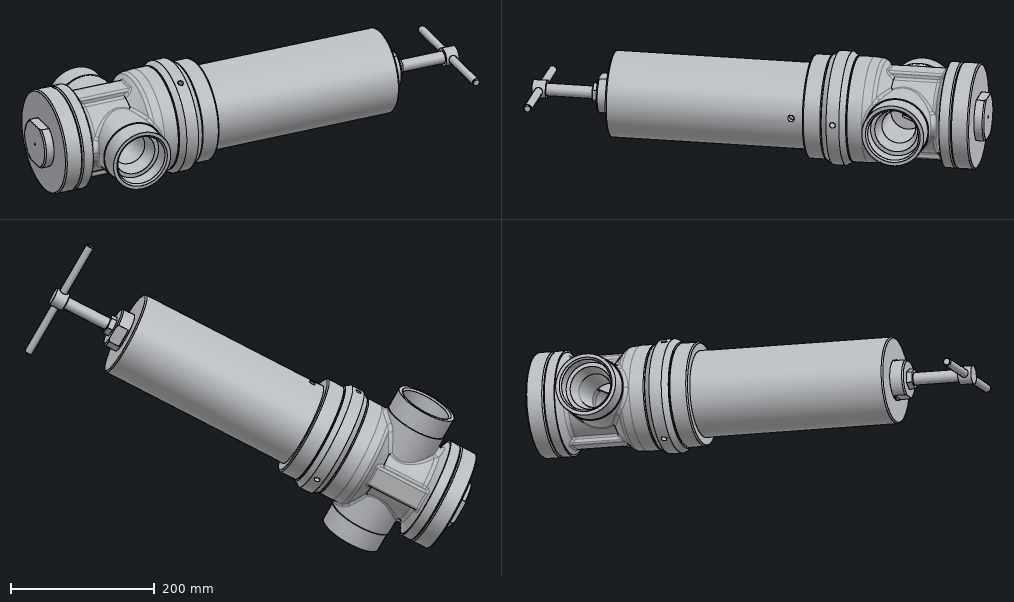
import cadquery as cq
import math


SELECT_MARGIN = 0.3
SEAM_TOLERANCE = 0.005

OVERALL_LENGTH = 646
BOSS_END_Y = -114.0
CAP_END_Y = -100.0
CAP_TOP_Y = -74.0
BODY_TOP_Y = 74.0
COLLAR_TOP_Y = 109.0
FLANGE_TOP_Y = 136.0
BONNET_TOP_Y = 418.5
GLAND_TOP_Y = 438.0
NUT_TOP_Y = 446.5
HEAD_BASE_Y = 513.0
HEAD_TOP_Y = BOSS_END_Y + OVERALL_LENGTH
HANDLE_Y = 522.5

BODY_RADIUS = 74.0
NECK_RADIUS = 55.0
LOWER_FLANGE_TOP_Y = -58.0
LOWER_CONE_RADIUS = 72.0
LOWER_CONE_ANGLE = 30
LOWER_CONE_FILLET = 6.5
BOWL_EDGE_Y = 35.5
BOWL_EDGE_RADIUS = 73.0
BOWL_TAPER_Y = 52.0
BOWL_FILLET = 8.5
SPIGOT_RADIUS = 61.0
RIM_CHAMFER = 2.0

PORT_SPAN = 220.0
PORT_RADIUS = 44.0
PORT_ROOT_RADIUS = 45.0
PORT_ROOT_SPAN = 161.5
PORT_BLEND = 4.5
SOCKET_RADIUS = 36.0
SOCKET_DEPTH = 23.0
SOCKET_CHAMFER = 2.5
THROAT_MOUTH_RADIUS = 30.5
THROAT_RADIUS = 24.0
THROAT_TAPER_LENGTH = 19.5
WEB_THICKNESS = 8.0
WINDOW_TIP_Y = 8.0
WINDOW_TIP_HALF_WIDTH = 6.0
WINDOW_BASE_Y = -15.5
WINDOW_BASE_HALF_WIDTH = 16.0

RIB_HALF_HEIGHT = 63.0
RIB_HALF_WIDTH = 16.0
RIB_EDGE_FILLET = 3.0
RIB_ROOT_FILLET = 4.0

CAP_RADIUS = 74.0
BOSS_RADIUS = 35.0
BOSS_ACROSS_FLATS = 59.5
CENTRE_MARK_RADIUS = 1.0
CENTRE_MARK_DEPTH = 2.5

COLLAR_RADIUS = 80.0
COLLAR_EDGE_RADIUS = 74.0
COLLAR_BEVEL_LENGTH = 8.5
COLLAR_HOLE_RADIUS = 4.0
COLLAR_HOLE_COUNT = 3

FLANGE_RADIUS = 73.0
BONNET_RADIUS = 61.0
GLAND_RADIUS = 28.5
GLAND_ACROSS_FLATS = 50.0
GLAND_BASE_HEIGHT = 2.0
VENT_Y = 154.5
VENT_RADIUS = 4.5
VENT_DEPTH = 10.0

SPINDLE_RADIUS = 9.0
NUT_ACROSS_FLATS = 25.0
HEAD_RADIUS = 13.0
HANDLE_RADIUS = 6.0
HANDLE_LENGTH = 181.5
HANDLE_CHAMFER = 1.0


def disc(radius, start_y, end_y):
    """Cylinder on the main axis between two heights."""
    plane = cq.Workplane("XZ", origin=(0, start_y, 0))
    return plane.circle(radius).extrude(start_y - end_y)


def cross_bar(radius, length, centre_y=0):
    """Cylinder along X, centred on the main axis."""
    plane = cq.Workplane("YZ", origin=(0, centre_y, 0))
    return plane.circle(radius).extrude(length / 2, both=True)


def flatted_boss(radius, across_flats, base_y, end_y):
    """Round boss with a chamfered end and two flats facing +Z and -Z."""
    end_face = ">Y" if end_y > base_y else "<Y"
    boss = disc(radius, base_y, end_y).faces(end_face).chamfer(RIM_CHAMFER)
    slab = cq.Workplane("XY").box(2 * radius, abs(end_y - base_y), across_flats)
    return boss.intersect(slab.translate((0, (base_y + end_y) / 2, 0)))


def body_core():
    """Turned core: lower flange, neck, conical bowl, rim and the spigot inside the collar."""
    cone_rise = (LOWER_CONE_RADIUS - NECK_RADIUS) * math.tan(math.radians(LOWER_CONE_ANGLE))
    lower_neck_y = LOWER_FLANGE_TOP_Y + cone_rise
    upper_neck_y = BOWL_EDGE_Y - (BOWL_EDGE_RADIUS - NECK_RADIUS)
    profile = [
        (0, CAP_TOP_Y),
        (BODY_RADIUS - RIM_CHAMFER, CAP_TOP_Y),
        (BODY_RADIUS, CAP_TOP_Y + RIM_CHAMFER),
        (BODY_RADIUS, LOWER_FLANGE_TOP_Y),
        (LOWER_CONE_RADIUS, LOWER_FLANGE_TOP_Y),
        (NECK_RADIUS, lower_neck_y),
        (NECK_RADIUS, upper_neck_y),
        (BOWL_EDGE_RADIUS, BOWL_EDGE_Y),
        (BODY_RADIUS, BOWL_TAPER_Y),
        (BODY_RADIUS, BODY_TOP_Y - RIM_CHAMFER),
        (BODY_RADIUS - RIM_CHAMFER, BODY_TOP_Y),
        (SPIGOT_RADIUS, BODY_TOP_Y),
        (SPIGOT_RADIUS, COLLAR_TOP_Y),
        (0, COLLAR_TOP_Y),
    ]
    core = cq.Workplane("XY").polyline(profile).close().revolve(360, (0, 0), (0, 1))
    core = core.edges(circle_at(BOWL_EDGE_RADIUS, BOWL_EDGE_Y)).fillet(BOWL_FILLET)
    return core.edges(circle_at(NECK_RADIUS, lower_neck_y)).fillet(LOWER_CONE_FILLET)


def circle_at(radius, height):
    """Selector for the turned edge of a given radius at a given height."""
    reach = radius + SELECT_MARGIN
    return cq.selectors.BoxSelector(
        (-reach, height - SELECT_MARGIN, -reach), (reach, height + SELECT_MARGIN, reach), boundingbox=True
    )


def rib_bar():
    """One bar through the neck that shows as a rib above and below it."""
    length = BOWL_EDGE_Y - LOWER_FLANGE_TOP_Y
    bar = cq.Workplane("XY").box(2 * RIB_HALF_WIDTH, length, 2 * RIB_HALF_HEIGHT)
    bar = bar.edges("|Y").fillet(RIB_EDGE_FILLET)
    return bar.translate((0, (BOWL_EDGE_Y + LOWER_FLANGE_TOP_Y) / 2, 0))


def port_passage():
    """Chamfered socket and tapered throat of the port on the +X side, up to the central web."""
    mouth_x = PORT_SPAN / 2
    socket_x = mouth_x - SOCKET_DEPTH
    throat_x = socket_x - THROAT_TAPER_LENGTH
    profile = [
        (WEB_THICKNESS / 2, 0),
        (WEB_THICKNESS / 2, THROAT_RADIUS),
        (throat_x, THROAT_RADIUS),
        (socket_x, THROAT_MOUTH_RADIUS),
        (socket_x, SOCKET_RADIUS),
        (mouth_x - SOCKET_CHAMFER, SOCKET_RADIUS),
        (mouth_x, SOCKET_RADIUS + SOCKET_CHAMFER),
        (mouth_x, 0),
    ]
    return cq.Workplane("XY").polyline(profile).close().revolve(360, (0, 0), (1, 0))


def web_window():
    """Wedge-shaped opening through the web, widening toward -Y up to the throat wall."""
    outline = [
        (WINDOW_TIP_Y, WINDOW_TIP_HALF_WIDTH),
        (WINDOW_BASE_Y, WINDOW_BASE_HALF_WIDTH),
        (-THROAT_RADIUS, WINDOW_BASE_HALF_WIDTH),
        (-THROAT_RADIUS, -WINDOW_BASE_HALF_WIDTH),
        (WINDOW_BASE_Y, -WINDOW_BASE_HALF_WIDTH),
        (WINDOW_TIP_Y, -WINDOW_TIP_HALF_WIDTH),
    ]
    wedge = cq.Workplane("YZ").polyline(outline).close().extrude(WEB_THICKNESS, both=True)
    return wedge.intersect(cross_bar(THROAT_RADIUS, 2 * WEB_THICKNESS))


def port_seam(body):
    """Curved edges on the port root surface where it meets the turned core, without its end circles."""
    end_x = PORT_ROOT_SPAN / 2 - SELECT_MARGIN
    seam = []
    for edge in body.edges("not %LINE").vals():
        middle = edge.positionAt(0.5)
        on_port_root = abs(math.hypot(middle.y, middle.z) - PORT_ROOT_RADIUS) < SEAM_TOLERANCE
        if on_port_root and abs(middle.x) < end_x:
            seam.append(edge)
    return body.newObject(seam)


def rib_outline(body):
    """Edges where the ribs meet the neck, the bowl and the lower flange, without the ribs' own long edges."""
    reach = RIB_HALF_WIDTH + SELECT_MARGIN
    rib_zone = cq.selectors.BoxSelector(
        (-reach, LOWER_FLANGE_TOP_Y, -BODY_RADIUS), (reach, BOWL_EDGE_Y, BODY_RADIUS), boundingbox=True
    )
    rounded_edge_z = RIB_HALF_HEIGHT - RIB_EDGE_FILLET
    outline = [
        edge for edge in body.edges(rib_zone).vals()
        if edge.geomType() != "LINE" or abs(edge.Center().z) < rounded_edge_z - SELECT_MARGIN
    ]
    return body.newObject(outline)


def make_body():
    """Valve body with two side ports and a rib on each side of the neck."""
    body = body_core().union(cross_bar(PORT_ROOT_RADIUS, PORT_ROOT_SPAN))
    body = port_seam(body).fillet(PORT_BLEND)
    body = body.union(rib_bar())
    body = rib_outline(body).fillet(RIB_ROOT_FILLET)
    body = body.union(cross_bar(PORT_RADIUS, PORT_SPAN))
    passage = port_passage()
    return body.cut(passage).cut(passage.mirror("YZ")).cut(web_window())


def make_bottom_cap():
    """Chamfered cap disc with a flatted boss and a small centre mark."""
    cap = disc(CAP_RADIUS, CAP_END_Y, CAP_TOP_Y).edges().chamfer(RIM_CHAMFER)
    cap = cap.union(flatted_boss(BOSS_RADIUS, BOSS_ACROSS_FLATS, CAP_END_Y, BOSS_END_Y))
    return cap.cut(disc(CENTRE_MARK_RADIUS, BOSS_END_Y, BOSS_END_Y + CENTRE_MARK_DEPTH))


def make_collar():
    """Ring with bevelled edges around the body spigot, with equally spaced radial holes."""
    profile = [
        (SPIGOT_RADIUS, BODY_TOP_Y),
        (COLLAR_EDGE_RADIUS, BODY_TOP_Y),
        (COLLAR_RADIUS, BODY_TOP_Y + COLLAR_BEVEL_LENGTH),
        (COLLAR_RADIUS, COLLAR_TOP_Y - COLLAR_BEVEL_LENGTH),
        (COLLAR_EDGE_RADIUS, COLLAR_TOP_Y),
        (SPIGOT_RADIUS, COLLAR_TOP_Y),
    ]
    collar = cq.Workplane("XY").polyline(profile).close().revolve(360, (0, 0), (0, 1))
    hole_plane = cq.Workplane("YZ", origin=(0, (BODY_TOP_Y + COLLAR_TOP_Y) / 2, 0))
    hole = hole_plane.circle(COLLAR_HOLE_RADIUS).extrude(-COLLAR_RADIUS)
    for index in range(COLLAR_HOLE_COUNT):
        angle = index * 360 / COLLAR_HOLE_COUNT
        collar = collar.cut(hole.rotate((0, 0, 0), (0, 1, 0), angle))
    return collar


def make_flange():
    """Disc between the collar and the bonnet."""
    return disc(FLANGE_RADIUS, COLLAR_TOP_Y, FLANGE_TOP_Y).edges().chamfer(RIM_CHAMFER)


def make_bonnet():
    """Long spring housing with a flatted gland on a round base, a spindle bore and a side vent hole."""
    bonnet = disc(BONNET_RADIUS, FLANGE_TOP_Y, BONNET_TOP_Y).faces(">Y").chamfer(RIM_CHAMFER)
    bonnet = bonnet.union(flatted_boss(GLAND_RADIUS, GLAND_ACROSS_FLATS, BONNET_TOP_Y, GLAND_TOP_Y))
    bonnet = bonnet.union(disc(GLAND_RADIUS, BONNET_TOP_Y, BONNET_TOP_Y + GLAND_BASE_HEIGHT))
    bonnet = bonnet.cut(disc(SPINDLE_RADIUS, BONNET_TOP_Y, GLAND_TOP_Y))
    vent_plane = cq.Workplane("YZ", origin=(-BONNET_RADIUS, VENT_Y, 0))
    return bonnet.cut(vent_plane.circle(VENT_RADIUS).extrude(VENT_DEPTH))


def make_lock_nut():
    """Thin hexagon nut on the gland, with two corners on the X axis."""
    plane = cq.Workplane("XZ", origin=(0, GLAND_TOP_Y, 0))
    nut = plane.polygon(6, NUT_ACROSS_FLATS, circumscribed=True).extrude(GLAND_TOP_Y - NUT_TOP_Y)
    return nut.cut(disc(SPINDLE_RADIUS, GLAND_TOP_Y, NUT_TOP_Y))


def make_spindle():
    """Spindle from the gland up to a round head, cross-drilled for the handle."""
    spindle = disc(SPINDLE_RADIUS, BONNET_TOP_Y, HEAD_BASE_Y)
    spindle = spindle.union(disc(HEAD_RADIUS, HEAD_BASE_Y, HEAD_TOP_Y))
    return spindle.cut(cross_bar(HANDLE_RADIUS, 2 * HEAD_RADIUS, HANDLE_Y))


def make_handle():
    """Straight cross bar with chamfered ends."""
    return cross_bar(HANDLE_RADIUS, HANDLE_LENGTH, HANDLE_Y).faces("|X").chamfer(HANDLE_CHAMFER)


body = make_body()
bottom_cap = make_bottom_cap()
collar = make_collar()
flange = make_flange()
bonnet = make_bonnet()
lock_nut = make_lock_nut()
spindle = make_spindle()
handle = make_handle()

result = cq.Compound.makeCompound([
    body.val(),
    bottom_cap.val(),
    collar.val(),
    flange.val(),
    bonnet.val(),
    lock_nut.val(),
    spindle.val(),
    handle.val(),
])